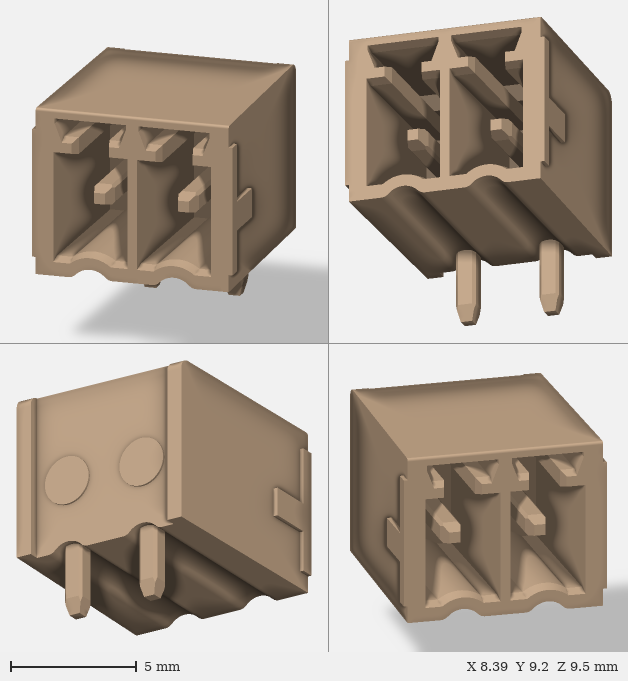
import cadquery as cq
import math


pole_pitch = 3.51
pole_positions = [-pole_pitch / 2, pole_pitch / 2]
contact_axis_height = 3.0
pin_size = 0.84
pin_edge_chamfer = 0.12
pin_front = 1.2
leg_center_depth = 8.0
leg_drop = 2.59
tip_angle = 15
arm_tip_inset = 0.19
leg_tip_inset = 0.18

front_width = 8.075
housing_height = 6.91
housing_depth = 9.2
shell_draft = 1
top_front_radius = 0.11
rear_recess_depth = 0.47
rear_recess_width = 6.42
rear_disc_radius = 1.03
rear_disc_height = 0.095
rear_face = housing_depth - rear_recess_depth

overall_width = 8.39
rail_bar_depth = 0.6
rail_bar_bottom = 0.71
rail_bar_top = 6.01
rail_stem_depth = 2.52
rail_stem_bottom = 2.41
rail_stem_top = 3.61
rail_thickness = 0.475

lead_depth = 0.5
lead_angle = 15
lead = lead_depth * math.tan(math.radians(lead_angle))
chamber_depth = 7.125
chamber_width = 3.1
chamber_draft = 0.6
chamber_floor = 0.7
chamber_ceiling = 5.01
neck_width = 1.28
pocket_depth = 5.7
pocket_floor = 5.7
pocket_ceiling = 6.41
pocket_width = 2.97
pocket_slope_start = 6.34
pocket_slope_angle = 21

arch_axis_height = -0.475
arch_radius = 1.48
groove_radius = 0.86
groove_lip_radius = 0.43

boss_base_radius = 1.15
boss_tip_radius = 0.83
boss_length = 1.0
window_bottom = 1.2
window_top_radius = 1.22


def prism_along_x(points, x_center, width):
    """Solid with a (Y, Z) outline, centered on x_center."""
    return (
        cq.Workplane("YZ", origin=(x_center, 0, 0))
        .polyline(points)
        .close()
        .extrude(width / 2, both=True)
    )


def prism_along_z(points, bottom, top):
    """Solid with an (X, Y) outline between two heights."""
    return cq.Workplane("XY", origin=(0, 0, bottom)).polyline(points).close().extrude(top - bottom)


def turned_along_y(points, x_center, height):
    """Solid turned about a front-to-rear axis; points are (radius, Y)."""
    return (
        cq.Workplane("XY", origin=(x_center, 0, height))
        .polyline(points)
        .close()
        .revolve(360, (0, 0, 0), (0, 1, 0))
    )


def box_between(x_range, y_range, z_range):
    sizes = [high - low for low, high in (x_range, y_range, z_range)]
    corner = (x_range[0], y_range[0], z_range[0])
    return cq.Workplane("XY").box(*sizes, centered=False).translate(corner)


def drafted_plan(x_center, front_half, depth, draft):
    """Four-cornered (X, Y) outline that narrows toward the rear."""
    rear_half = front_half - depth * math.tan(math.radians(draft))
    return [
        (x_center - front_half, 0),
        (x_center + front_half, 0),
        (x_center + rear_half, depth),
        (x_center - rear_half, depth),
    ]




def square_bar(length, tip_inset):
    """Bar standing on its tapered tip at Z = 0, with chamfered long edges."""
    bar = cq.Workplane("XY").rect(pin_size, pin_size).extrude(length).edges("|Z").chamfer(pin_edge_chamfer)
    tip_size = pin_size - 2 * tip_inset
    tip_length = tip_inset / math.tan(math.radians(tip_angle))
    taper = (
        cq.Workplane("XY")
        .rect(tip_size, tip_size)
        .workplane(offset=tip_length)
        .rect(pin_size, pin_size)
        .loft(ruled=True)
    )
    straight = cq.Workplane("XY", origin=(0, 0, tip_length)).rect(pin_size, pin_size).extrude(length)
    return bar.intersect(taper.union(straight))


def contact_pin(x_center):
    """L-shaped pin: an arm pointing forward and a leg pointing down."""
    leg = square_bar(leg_drop + contact_axis_height + pin_size / 2, leg_tip_inset)
    leg = leg.translate((x_center, leg_center_depth, -leg_drop))
    arm = square_bar(leg_center_depth + pin_size / 2 - pin_front, arm_tip_inset)
    arm = arm.rotate((0, 0, 0), (1, 0, 0), -90).translate((x_center, pin_front, contact_axis_height))
    return leg.union(arm)




def shell():
    """Drafted block with rounded upper edges and a rib left at each rear corner."""
    block = prism_along_z(drafted_plan(0, front_width / 2, housing_depth, shell_draft), 0, housing_height)
    block = block.edges(">Z and >Y").fillet(rear_recess_depth)
    block = block.edges(">Z and <Y").fillet(top_front_radius)
    recess = box_between(
        (-rear_recess_width / 2, rear_recess_width / 2),
        (rear_face, housing_depth),
        (0, housing_height),
    )
    return block.cut(recess)


def side_rail(side):
    """T-shaped rail; side is -1 for -X and 1 for +X."""
    outline = [
        (0, rail_bar_bottom),
        (rail_bar_depth, rail_bar_bottom),
        (rail_bar_depth, rail_stem_bottom),
        (rail_stem_depth, rail_stem_bottom),
        (rail_stem_depth, rail_stem_top),
        (rail_bar_depth, rail_stem_top),
        (rail_bar_depth, rail_bar_top),
        (0, rail_bar_top),
    ]
    return prism_along_x(outline, side * (overall_width - rail_thickness) / 2, rail_thickness)


def floor_arch(x_center):
    """Rounded hump along the chamber floor, lower through the lead-in."""
    outline = [
        (0, 0),
        (arch_radius - lead, 0),
        (arch_radius, lead_depth),
        (arch_radius, chamber_depth),
        (0, chamber_depth),
    ]
    return turned_along_y(outline, x_center, arch_axis_height)


def plug_chamber(x_center):
    """Main opening below the hooks, with a flared floor and ceiling."""
    plan = drafted_plan(x_center, chamber_width / 2, chamber_depth, chamber_draft)
    profile = [
        (0, chamber_floor - lead),
        (lead_depth, chamber_floor),
        (chamber_depth, chamber_floor),
        (chamber_depth, chamber_ceiling),
        (lead_depth, chamber_ceiling),
        (0, chamber_ceiling + lead),
    ]
    chamber = prism_along_z(plan, 0, housing_height)
    chamber = chamber.intersect(prism_along_x(profile, x_center, chamber_width))
    return chamber.cut(floor_arch(x_center))


def hook_neck(x_center):
    """Gap between the two hooks, joining the chamber and the pocket above."""
    half = neck_width / 2
    plan = [
        (x_center - half - lead, 0),
        (x_center + half + lead, 0),
        (x_center + half, lead_depth),
        (x_center + half, chamber_depth),
        (x_center - half, chamber_depth),
        (x_center - half, lead_depth),
    ]
    return prism_along_z(plan, chamber_ceiling, pocket_floor)


def latch_pocket(x_center):
    """Wide pocket above the hooks, with sides that lean inward toward its floor."""
    top_half = pocket_width / 2
    mouth_floor = pocket_floor - lead
    mouth_ceiling = pocket_ceiling + lead
    lean = (pocket_slope_start - mouth_floor) * math.tan(math.radians(pocket_slope_angle))
    outline = [
        (-top_half, mouth_ceiling),
        (-top_half, pocket_slope_start),
        (-top_half + lean, mouth_floor),
        (top_half - lean, mouth_floor),
        (top_half, pocket_slope_start),
        (top_half, mouth_ceiling),
    ]
    profile = [
        (0, mouth_floor),
        (lead_depth, pocket_floor),
        (pocket_depth, pocket_floor),
        (pocket_depth, pocket_ceiling),
        (lead_depth, pocket_ceiling),
        (0, mouth_ceiling),
    ]
    pocket = cq.Workplane("XZ", origin=(x_center, 0, 0)).polyline(outline).close().extrude(-pocket_depth)
    return pocket.intersect(prism_along_x(profile, x_center, pocket_width))


def underside_groove(x_center):
    """Round groove along the underside, blended into it by a rounded lip on each side."""
    center_distance = groove_radius + groove_lip_radius
    lip_rise = groove_lip_radius - arch_axis_height
    lip_center = math.sqrt(center_distance**2 - lip_rise**2)
    blend_x = lip_center * groove_radius / center_distance
    blend_z = arch_axis_height + lip_rise * groove_radius / center_distance
    return (
        cq.Workplane("XZ", origin=(x_center, 0, 0))
        .moveTo(-lip_center, 0)
        .radiusArc((-blend_x, blend_z), -groove_lip_radius)
        .threePointArc((0, arch_axis_height + groove_radius), (blend_x, blend_z))
        .radiusArc((lip_center, 0), -groove_lip_radius)
        .close()
        .extrude(-housing_depth)
    )


def contact_boss(x_center):
    """Cone around the contact on the rear wall of the chamber."""
    outline = [
        (0, chamber_depth - boss_length),
        (boss_tip_radius, chamber_depth - boss_length),
        (boss_base_radius, chamber_depth),
        (boss_base_radius, leg_center_depth),
        (0, leg_center_depth),
    ]
    return turned_along_y(outline, x_center, contact_axis_height)


def leg_window(x_center):
    """Opening in the rear wall of the chamber, in front of the leg, with an arched top."""
    window = box_between(
        (x_center - pin_size / 2, x_center + pin_size / 2),
        (chamber_depth, leg_center_depth),
        (window_bottom, contact_axis_height),
    )
    top = [(0, 0), (window_top_radius, 0), (window_top_radius, housing_depth), (0, housing_depth)]
    return window.cut(turned_along_y(top, x_center, contact_axis_height))


def rear_disc(x_center):
    """Low round pad on the rear face, behind the contact."""
    outline = [
        (0, leg_center_depth + pin_size / 2),
        (rear_disc_radius, leg_center_depth + pin_size / 2),
        (rear_disc_radius, rear_face + rear_disc_height),
        (0, rear_face + rear_disc_height),
    ]
    return turned_along_y(outline, x_center, contact_axis_height)


pins = [contact_pin(x_center) for x_center in pole_positions]

housing = shell()
for side in (-1, 1):
    housing = housing.union(side_rail(side))
for x_center, pin in zip(pole_positions, pins):
    for opening in (plug_chamber, hook_neck, latch_pocket, underside_groove, leg_window):
        housing = housing.cut(opening(x_center))
    for addition in (contact_boss, rear_disc):
        housing = housing.union(addition(x_center))
    housing = housing.cut(pin)

result = cq.Compound.makeCompound([housing.solids().val(), *[pin.val() for pin in pins]])